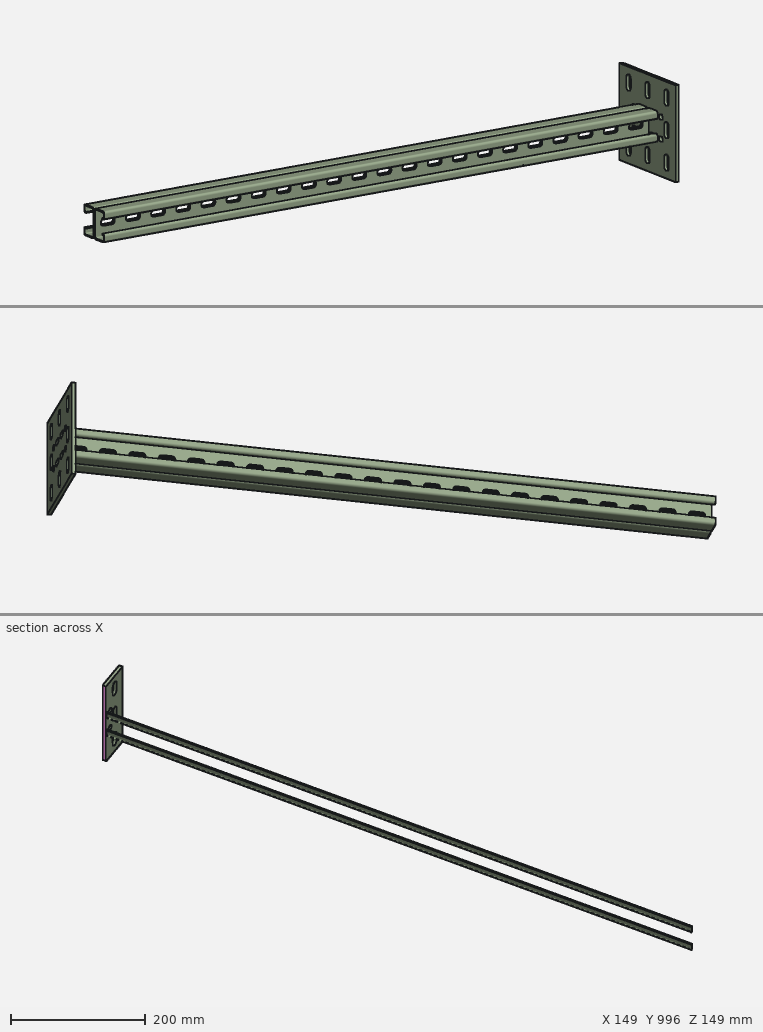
import cadquery as cq

PLATE_SIZE = 149.0
PLATE_THICKNESS = 6.0

BOLT_PITCH = 50.0
BOLT_SLOT_LENGTH = 25.0
BOLT_SLOT_WIDTH = 12.0

WINDOW_ROW_Z = 16.8
WINDOW_HEIGHT = 8.0
OUTER_WINDOW_X = 35.5
OUTER_WINDOW_WIDTH = 10.0
INNER_WINDOW_X = 13.5
INNER_WINDOW_WIDTH = 18.0

CHANNEL_LENGTH = 990.0
CHANNEL_GAP = 2.0
CHANNEL_DEPTH = 26.0
CHANNEL_HEIGHT = 48.0
SHEET = 2.0
BEND_RADIUS = 4.0
MOUTH_OPENING = 22.0
LIP_RETURN = 6.0

WEB_SLOT_PITCH = 45.0
WEB_SLOT_COUNT = round(CHANNEL_LENGTH / WEB_SLOT_PITCH)
WEB_SLOT_LENGTH = 25.0
WEB_SLOT_WIDTH = 11.0


def make_plate():
    """Square plate whose front face touches the channel ends at y = CHANNEL_LENGTH."""
    plate = cq.Workplane("XY").box(PLATE_SIZE, PLATE_THICKNESS, PLATE_SIZE)
    face = cq.Workplane("XZ", origin=(0, PLATE_THICKNESS / 2, 0))

    steps = (-1, 0, 1)
    bolt_points = [(i * BOLT_PITCH, k * BOLT_PITCH) for i in steps for k in steps if (i, k) != (0, 0)]
    bolt_slots = face.pushPoints(bolt_points).slot2D(BOLT_SLOT_LENGTH, BOLT_SLOT_WIDTH, 90)
    plate = plate.cut(bolt_slots.extrude(PLATE_THICKNESS))

    for x, width in ((OUTER_WINDOW_X, OUTER_WINDOW_WIDTH), (INNER_WINDOW_X, INNER_WINDOW_WIDTH)):
        windows = face.rarray(2 * x, 2 * WINDOW_ROW_Z, 2, 2).slot2D(width, WINDOW_HEIGHT)
        plate = plate.cut(windows.extrude(PLATE_THICKNESS))

    return plate.translate((0, CHANNEL_LENGTH + PLATE_THICKNESS / 2, 0))


def make_channel():
    """C-channel with its back on the plane x = 0 and its mouth toward +X."""
    half_height = CHANNEL_HEIGHT / 2
    half_mouth = MOUTH_OPENING / 2
    lip_tip_x = CHANNEL_DEPTH - LIP_RETURN

    outer_corners = [(0, half_height), (CHANNEL_DEPTH, half_height), (CHANNEL_DEPTH, half_mouth)]
    inner_corners = [
        (CHANNEL_DEPTH - SHEET, half_mouth + SHEET),
        (CHANNEL_DEPTH - SHEET, half_height - SHEET),
        (SHEET, half_height - SHEET),
    ]
    lip_tip = [(lip_tip_x, half_mouth), (lip_tip_x, half_mouth + SHEET)]
    upper = outer_corners + lip_tip + inner_corners
    lower = [(x, -z) for x, z in reversed(upper)]
    channel = cq.Workplane("XZ", origin=(0, CHANNEL_LENGTH, 0)).polyline(upper + lower).close()
    channel = channel.extrude(CHANNEL_LENGTH)

    for corners, radius in ((outer_corners, BEND_RADIUS), (inner_corners, BEND_RADIUS - SHEET)):
        for x, z in corners:
            for side in (1, -1):
                bend = cq.selectors.NearestToPointSelector((x, CHANNEL_LENGTH / 2, side * z))
                channel = channel.edges("|Y").edges(bend).fillet(radius)

    web_slots = (
        cq.Workplane("YZ")
        .center(CHANNEL_LENGTH / 2, 0)
        .rarray(WEB_SLOT_PITCH, 1, WEB_SLOT_COUNT, 1)
        .slot2D(WEB_SLOT_LENGTH, WEB_SLOT_WIDTH)
        .extrude(SHEET)
    )
    return channel.cut(web_slots)


plate = make_plate()
right_channel = make_channel().translate((CHANNEL_GAP / 2, 0, 0))
left_channel = right_channel.mirror("YZ")
result = cq.Compound.makeCompound([plate.val(), right_channel.val(), left_channel.val()])